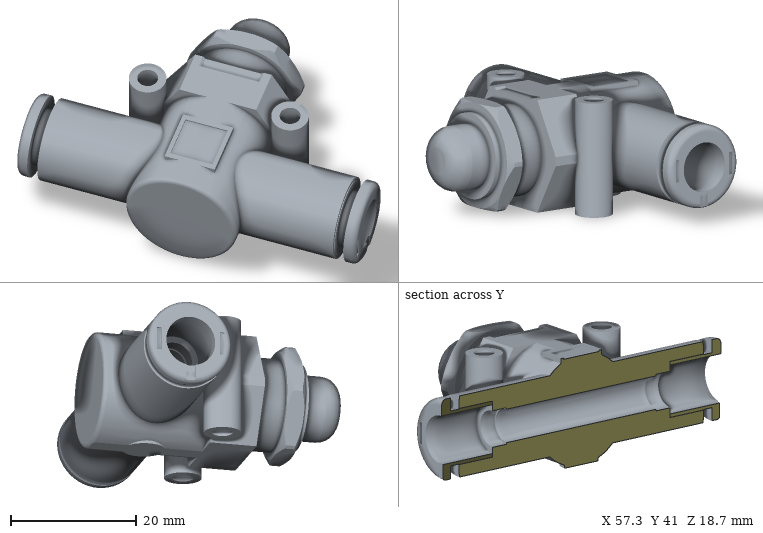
import cadquery as cq
import math


body_diameter = 18.75
body_front_y = -9.1
body_front_fillet = 0.75
flat_z = 9.2

block_start_y = 9.2
block_end_y = 16.9
block_half_width = 11.5
block_flat_half_width = 6.5
block_side_half_height = 0.75
notch_width = 10.25
notch_length = 2.0
notch_depth = 0.4

neck_diameter = 15.0
neck_end_y = 21.45
nut_thickness = 3.0
nut_end_y = neck_end_y + nut_thickness
thread_diameter = 14.0
thread_end_y = nut_end_y + 1.05
knob_diameter = 10.6
knob_end_y = 31.9
knob_fillet = 3.15

nut_across_flats = 17.1
nut_corner_diameter = 19.3
nut_face_diameter = 17.2
nut_chamfer_length = 0.7

port_diameter = 13.6
port_end_x = 25.1
port_lip_diameter = 12.5
port_lip_length = 0.1
socket_depth = 6.9
step_bore_diameter = 6.0
step_bore_depth = 2.85
through_bore_diameter = 5.5

collet_end_x = 28.65
collet_flange_diameter = port_diameter
collet_flange_thickness = 1.95
collet_fillet = 1.0
collet_sleeve_diameter = 9.2
collet_bore_diameter = 8.1
collet_recess_depth = 0.3
key_slot_width = 1.5
grip_height = 3.65
grip_inner_y = 4.85
grip_outer_y = 5.6

post_x = 12.05
post_y = 9.75
post_diameter = 6.0
post_hole_diameter = 3.3
post_height = 18.7

pad_width = 8.5
pad_length = 9.15
pad_height = 2.3
label_width = 7.1
label_length = 7.4
label_depth = 0.25
disc_diameter = 6.9
disc_height = 1.7


def cylinder_y(diameter, start_y, end_y):
    """Solid cylinder on the valve axis between two Y positions."""
    profile = cq.Workplane("XZ", origin=(0, start_y, 0)).circle(diameter / 2)
    return profile.extrude(start_y - end_y)


def cylinder_x(diameter, start_x, end_x):
    """Solid cylinder on the port axis between two X positions."""
    profile = cq.Workplane("YZ", origin=(start_x, 0, 0)).circle(diameter / 2)
    return profile.extrude(end_x - start_x)


def make_round_body():
    """Round body with a filleted front edge and shallow flats on top and bottom."""
    body = cylinder_y(body_diameter, body_front_y, block_start_y)
    body = body.faces("<Y").edges().fillet(body_front_fillet)
    slab = cq.Workplane("XY").box(2 * body_diameter, 4 * body_diameter, 2 * flat_z)
    return body.intersect(slab)


def make_block():
    """Six-sided block with a shallow notch in the rear edge of its top face."""
    right_side = [
        (block_flat_half_width, flat_z),
        (block_half_width, block_side_half_height),
        (block_half_width, -block_side_half_height),
        (block_flat_half_width, -flat_z),
    ]
    left_side = [(-x, z) for x, z in reversed(right_side)]
    outline = cq.Workplane("XZ", origin=(0, block_start_y, 0)).polyline(right_side + left_side).close()
    block = outline.extrude(block_start_y - block_end_y)

    top_half = notch_width / 2
    floor_half = top_half - notch_depth
    floor_z = flat_z - notch_depth
    notch_points = [(-top_half, flat_z), (top_half, flat_z), (floor_half, floor_z), (-floor_half, floor_z)]
    notch = cq.Workplane("XZ", origin=(0, block_end_y, 0)).polyline(notch_points).close()
    return block.cut(notch.extrude(notch_length))


def make_neck():
    """Neck, thread and domed knob stacked along the valve axis."""
    knob = cylinder_y(knob_diameter, nut_end_y, knob_end_y)
    knob = knob.faces(">Y").edges().fillet(knob_fillet)
    neck = cylinder_y(neck_diameter, block_start_y, neck_end_y)
    thread = cylinder_y(thread_diameter, block_start_y, thread_end_y)
    return neck.union(thread).union(knob)


def make_housing():
    """Housing with both lipped tube ports, mounting posts, label pad, neck and knob."""
    housing = make_round_body().union(make_block()).union(make_neck())
    tube_end_x = port_end_x - port_lip_length
    housing = housing.union(cylinder_x(port_diameter, -tube_end_x, tube_end_x))
    housing = housing.union(cylinder_x(port_lip_diameter, -port_end_x, port_end_x))

    disc = cq.Workplane("XY", origin=(0, 0, -flat_z)).circle(disc_diameter / 2).extrude(disc_height)
    housing = housing.union(disc)
    top = cq.Workplane("XY", origin=(0, 0, flat_z))
    housing = housing.union(top.rect(pad_width, pad_length).extrude(-pad_height))
    housing = housing.cut(top.rect(label_width, label_length).extrude(-label_depth))

    post_centers = cq.Workplane("XY", origin=(0, 0, -post_height / 2))
    post_centers = post_centers.pushPoints([(-post_x, post_y), (post_x, post_y)])
    housing = housing.union(post_centers.circle(post_diameter / 2).extrude(post_height))
    housing = housing.cut(post_centers.circle(post_hole_diameter / 2).extrude(post_height))

    socket_floor_x = port_end_x - socket_depth
    for side in (-1, 1):
        socket = cylinder_x(collet_sleeve_diameter, side * socket_floor_x, side * port_end_x)
        step = cylinder_x(step_bore_diameter, side * (socket_floor_x - step_bore_depth), side * socket_floor_x)
        housing = housing.cut(socket).cut(step)
    return housing.cut(cylinder_x(through_bore_diameter, -port_end_x, port_end_x))


def make_nut():
    """Hexagonal lock nut with conical chamfers on both faces."""
    face_radius = nut_face_diameter / 2
    corner_radius = nut_corner_diameter / 2
    circumscribed_diameter = nut_across_flats / math.cos(math.radians(30))
    hexagon = cq.Workplane("XZ", origin=(0, neck_end_y, 0)).polygon(6, circumscribed_diameter)
    nut = hexagon.extrude(-nut_thickness)
    half_section = [
        (0, neck_end_y),
        (face_radius, neck_end_y),
        (corner_radius, neck_end_y + nut_chamfer_length),
        (corner_radius, nut_end_y - nut_chamfer_length),
        (face_radius, nut_end_y),
        (0, nut_end_y),
    ]
    envelope = cq.Workplane("XY").polyline(half_section).close().revolve(360, (0, 0, 0), (0, 1, 0))
    return nut.intersect(envelope).cut(cylinder_y(thread_diameter, neck_end_y, nut_end_y))


def make_collet(side):
    """Release collet at the left (side = -1) or right (side = 1) port."""
    end_x = side * collet_end_x
    inner_x = side * (port_end_x - socket_depth)
    flange = cylinder_x(collet_flange_diameter, end_x - side * collet_flange_thickness, end_x)
    outer_face = ">X" if side > 0 else "<X"
    flange = flange.faces(outer_face).edges().fillet(collet_fillet)
    collet = flange.union(cylinder_x(collet_sleeve_diameter, inner_x, end_x - side * collet_flange_thickness))
    collet = collet.cut(cylinder_x(collet_bore_diameter, inner_x, end_x))

    end_face = cq.Workplane("YZ", origin=(end_x, 0, 0))
    slot_length = collet_flange_diameter / 2
    key_slot = end_face.center(0, -slot_length / 2).rect(key_slot_width, slot_length)
    collet = collet.cut(key_slot.extrude(-side * collet_recess_depth))

    grip_y = (grip_inner_y + grip_outer_y) / 2
    grips = end_face.pushPoints([(-grip_y, 0), (grip_y, 0)]).rect(grip_outer_y - grip_inner_y, grip_height)
    return collet.cut(grips.extrude(-side * collet_recess_depth))


housing = make_housing()
nut = make_nut()
collets = [make_collet(side) for side in (-1, 1)]

result = cq.Compound.makeCompound([housing.val(), nut.val(), *[collet.val() for collet in collets]])